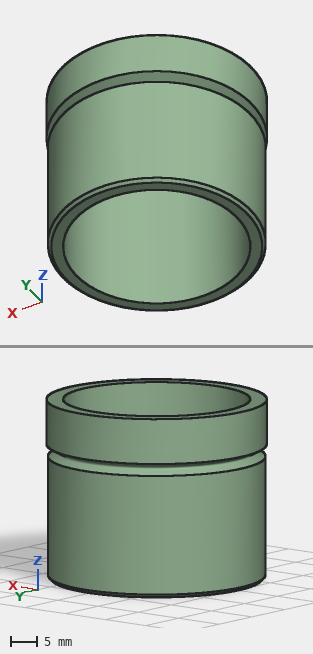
import cadquery as cq
import math

height = 35.0
collar_radius = 21.2
body_radius = 20.95
bore_radius = 17.98
bottom_chamfer = 0.68

groove_z = 24.97
groove_apex_radius = 18.75
groove_root_radius = 0.35
groove_flank_angle = math.radians(27)

collar_flank_rise = (collar_radius - groove_apex_radius) * math.tan(groove_flank_angle)
body_flank_drop = (body_radius - groove_apex_radius) * math.tan(groove_flank_angle)

root_center_radius = groove_apex_radius + groove_root_radius / math.sin(groove_flank_angle)
root_floor_radius = root_center_radius - groove_root_radius
tangent_radius = root_center_radius - groove_root_radius * math.sin(groove_flank_angle)
tangent_rise = groove_root_radius * math.cos(groove_flank_angle)

section = (
    cq.Workplane("XZ")
    .moveTo(bore_radius, 0)
    .lineTo(body_radius - bottom_chamfer, 0)
    .lineTo(body_radius, bottom_chamfer)
    .lineTo(body_radius, groove_z - body_flank_drop)
    .lineTo(tangent_radius, groove_z - tangent_rise)
    .threePointArc((root_floor_radius, groove_z), (tangent_radius, groove_z + tangent_rise))
    .lineTo(collar_radius, groove_z + collar_flank_rise)
    .lineTo(collar_radius, height)
    .lineTo(bore_radius, height)
    .close()
)

result = section.revolve(360, (0, 0, 0), (0, 1, 0))